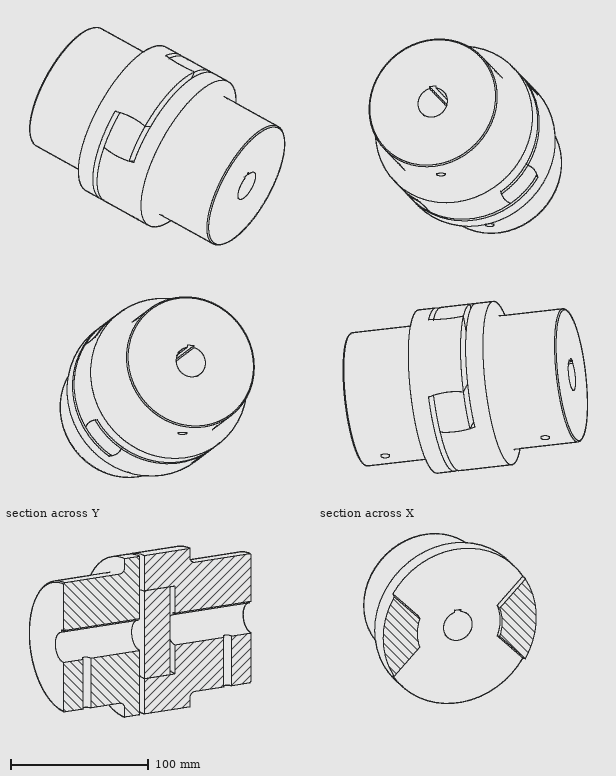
import cadquery as cq
import math

length = 160.0
flange_radius = 60.0
hub_radius = 49.0
end_chamfer = 1.0
flange_outer_x = 28.0
flange_inner_x = 15.0
neck_fillet = 4.0

bore_radius = 11.2
keyway_width = 5.0
keyway_top = 12.5

set_screw_x = 60.0
set_screw_radius = 3.2

spider_half_width = 11.2
core_radius = 33.0
leg_half_width = 15.4
leg_crown_radius = 56.0
tool_reach = 2 * flange_radius
leg_angles = (45, 135)
upright_angles = (0, 180)
sideways_angles = (90, 270)


def x_cylinder(radius, x_start, x_end):
    """Cylinder on the coupling axis between two X positions."""
    return cq.Workplane("YZ", origin=(x_start, 0, 0)).circle(radius).extrude(x_end - x_start)


def leg_bar(angle):
    """Bar through the axis with crowned sides, long enough to leave the coupling both ways."""
    x_end = flange_inner_x
    crown_drop = leg_crown_radius - math.sqrt(leg_crown_radius**2 - x_end**2)
    side = leg_half_width - crown_drop
    bar = (
        cq.Workplane("XY")
        .moveTo(-x_end, -side)
        .threePointArc((0, -leg_half_width), (x_end, -side))
        .lineTo(x_end, side)
        .threePointArc((0, leg_half_width), (-x_end, side))
        .close()
        .extrude(tool_reach, both=True)
    )
    return bar.rotate((0, 0, 0), (1, 0, 0), angle)


def quarter_wedge(angle):
    """Quarter wedge about X that spans the jaw region, centred on the given angle."""
    wedge = (
        cq.Workplane("YZ", origin=(-flange_inner_x, 0, 0))
        .polyline([(0, 0), (tool_reach, tool_reach), (-tool_reach, tool_reach)])
        .close()
        .extrude(flange_inner_x + spider_half_width)
    )
    return wedge.rotate((0, 0, 0), (1, 0, 0), angle)


def make_flange(open_angles):
    """Flange with two opposite jaws; the quarters at open_angles stay free for the other hub."""
    flange = x_cylinder(flange_radius, -flange_outer_x, spider_half_width)
    flange = flange.cut(x_cylinder(core_radius, -flange_inner_x, spider_half_width))
    for angle in open_angles:
        flange = flange.cut(quarter_wedge(angle))
    for angle in leg_angles:
        flange = flange.cut(leg_bar(angle))
    return flange


def make_hub(open_angles):
    """Hub on the -X side: stepped body with jaws, keyed bore and set screw hole."""
    barrel = x_cylinder(hub_radius, -length / 2, -flange_outer_x)
    barrel = barrel.faces("<X").edges().chamfer(end_chamfer)
    body = barrel.union(make_flange(open_angles))
    neck_zone = cq.selectors.BoxSelector(
        (-flange_outer_x - end_chamfer, -hub_radius, -hub_radius),
        (-flange_outer_x + end_chamfer, hub_radius, hub_radius),
    )
    neck_edge = body.edges(neck_zone).edges(cq.selectors.RadiusNthSelector(0))
    body = neck_edge.fillet(neck_fillet)

    bore = x_cylinder(bore_radius, -length / 2, 0)
    keyway = cq.Workplane("XY").box(
        length, keyway_width, keyway_top, centered=(True, True, False)
    )
    set_screw_hole = (
        cq.Workplane("XY", origin=(-set_screw_x, 0, 0))
        .circle(set_screw_radius)
        .extrude(-hub_radius - end_chamfer)
    )
    return body.cut(bore).cut(keyway).cut(set_screw_hole)


def make_spider():
    """Solid disc with four crowned legs flush with the flange."""
    spider = x_cylinder(core_radius, -spider_half_width, spider_half_width)
    envelope = x_cylinder(flange_radius, -spider_half_width, spider_half_width)
    for angle in leg_angles:
        spider = spider.union(leg_bar(angle).intersect(envelope))
    return spider


left_hub = make_hub(sideways_angles)
right_hub = make_hub(upright_angles).mirror("YZ")
spider = make_spider()
result = cq.Compound.makeCompound([left_hub.val(), right_hub.val(), spider.val()])